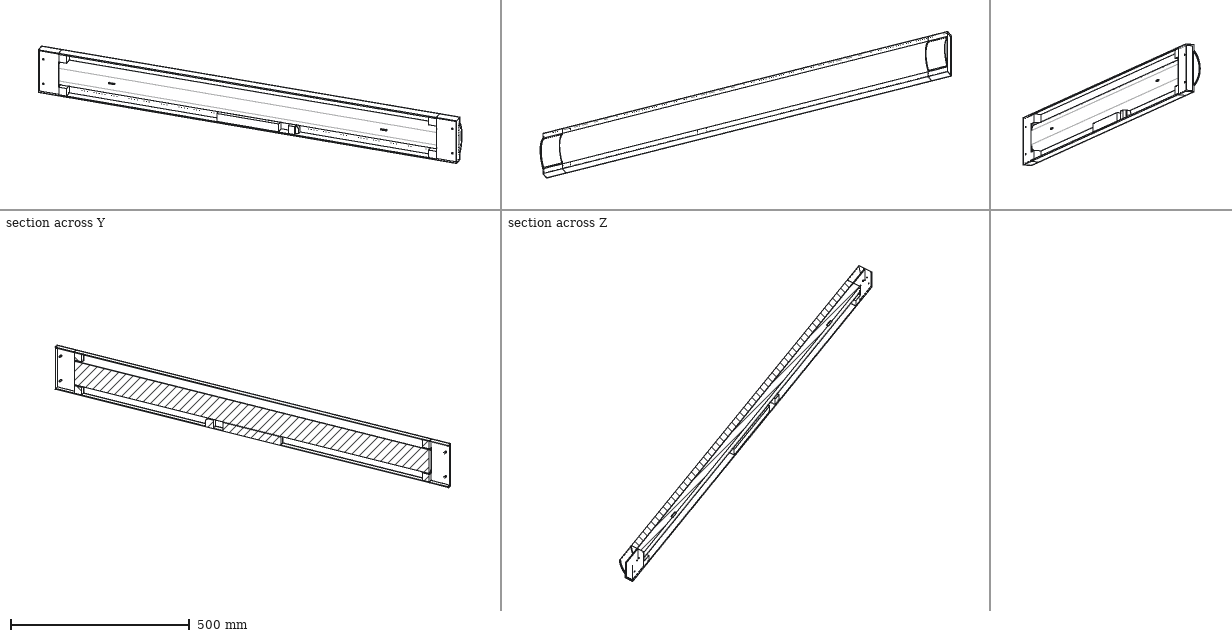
import cadquery as cq
import math

length = 1246.0
depth = 44.0
width = 135.0

tray_length = 1125.0
tray_depth = 25.0
wall = 4.0
floor_front = 21.0
ridge_radius = 20.0
ridge_width = 80.0

slot_length = 19.0
slot_width = 3.9
slot_depth = 5.0
slot_spacing = 810.0

part_top = -39.0
part_front = 1.0
terminal_length = 185.0
clamp_left = 121.0
clamp_width = 19.0
gland_diameter = 27.0
gland_front = 10.0

lens_width = 102.0
lens_height = depth - tray_depth
lens_radius = ((lens_width / 2) ** 2 + lens_height**2) / (2 * lens_height)
lens_gap = 1.0

cap_inner_end = tray_length / 2
cap_plate = 2.0
tongue_length = 24.0
pillar_diameter = 4.2
pillar_spacing = 77.0
pillar_end_distance = 14.0


def block(x_range, y_range, z_range):
    """Axis-aligned box between the given limits."""
    spans = [high - low for low, high in (x_range, y_range, z_range)]
    corner = (x_range[0], y_range[0], z_range[0])
    return cq.Workplane("XY").box(*spans, centered=False).translate(corner)


def dome(x_start, x_end, inset=0.0):
    """Circular-segment bar on the back plane of the tray, its arc moved inwards by inset."""
    crown = depth - inset
    centre_distance = lens_radius - lens_height
    half_chord = math.sqrt((lens_radius - inset) ** 2 - centre_distance**2)
    return (
        cq.Workplane("YZ", origin=(x_start, 0, 0))
        .moveTo(tray_depth, -half_chord)
        .threePointArc((crown, 0), (tray_depth, half_chord))
        .close()
        .extrude(x_end - x_start)
    )


def make_channel():
    """Channel with the rounded ridge standing on its floor."""
    x_range = (-tray_length / 2, tray_length / 2)
    inner_z = width / 2 - wall
    channel = block(x_range, (0, tray_depth), (-width / 2, width / 2))
    channel = channel.cut(block(x_range, (0, floor_front), (-inner_z, inner_z)))
    ridge = block(x_range, (0, floor_front), (-ridge_width / 2, ridge_width / 2))
    return channel.union(ridge.edges("|X and <Y").fillet(ridge_radius))


def make_mounting_slots():
    """Blind slots along the centre line of the ridge."""
    return (
        cq.Workplane("XZ")
        .pushPoints([(-slot_spacing / 2, 0), (slot_spacing / 2, 0)])
        .slot2D(slot_length, slot_width)
        .extrude(-slot_depth)
    )


def make_wiring_parts():
    """Terminal block, cable clamp and the round-cornered gland behind the clamp."""
    z_range = (-width / 2 + wall, part_top)
    terminal = block((-terminal_length / 2, terminal_length / 2), (part_front, floor_front), z_range)
    clamp = block((clamp_left, clamp_left + clamp_width), (part_front, floor_front), z_range)
    gland = block((clamp_left, clamp_left + gland_diameter), (gland_front, floor_front), z_range)
    gland = gland.edges("|Y and >X and >Z").fillet(gland_diameter / 2)
    return terminal, clamp.union(gland)


def make_tray():
    tray = make_channel().cut(make_mounting_slots())
    for part in make_wiring_parts():
        tray = tray.union(part)
    return tray


def make_lens():
    return dome(-tray_length / 2, tray_length / 2)


def make_end_cap():
    """End cap of the +X end, with two tongues reaching into the tray channels."""
    end_plate_inside = length / 2 - cap_plate
    inner_z = width / 2 - wall
    dome_start = cap_inner_end + lens_gap

    cap = block((cap_inner_end, length / 2), (0, tray_depth), (-width / 2, width / 2))
    cap = cap.union(dome(dome_start, length / 2))
    cavity_y = (cap_plate, tray_depth - wall)
    cap = cap.cut(block((cap_inner_end, end_plate_inside), cavity_y, (-inner_z, inner_z)))
    cap = cap.cut(dome(dome_start, end_plate_inside, inset=cap_plate))

    pillar_x = length / 2 - pillar_end_distance
    for side in (-1, 1):
        z_range = sorted((side * ridge_width / 2, side * inner_z))
        tongue_x = (cap_inner_end - tongue_length, cap_inner_end)
        cap = cap.union(block(tongue_x, (0, floor_front), z_range))
        pillar = (
            cq.Workplane("XZ", origin=(pillar_x, cap_plate, side * pillar_spacing / 2))
            .circle(pillar_diameter / 2)
            .extrude(-(cavity_y[1] - cavity_y[0]))
        )
        cap = cap.union(pillar)
    return cap


tray = make_tray()
lens = make_lens()
right_cap = make_end_cap()
left_cap = right_cap.mirror("YZ")

result = cq.Compound.makeCompound([tray.val(), lens.val(), left_cap.val(), right_cap.val()])